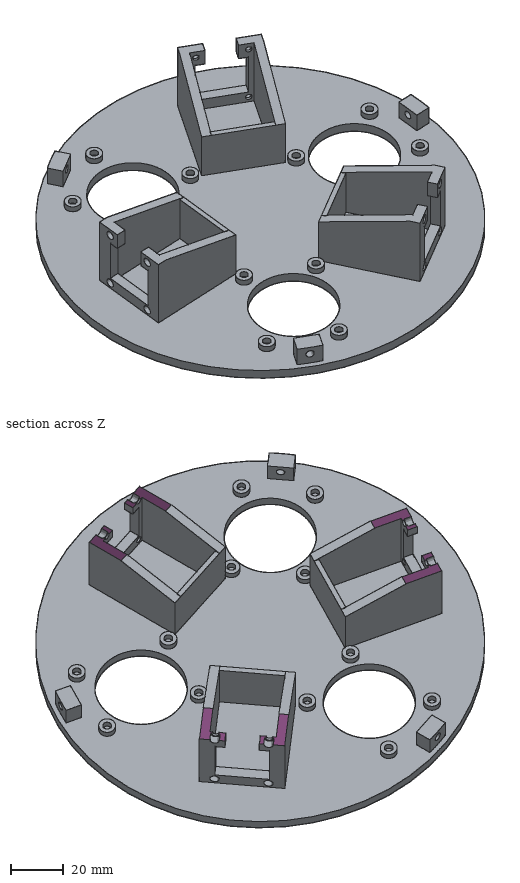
import cadquery as cq

plate_diameter = 170
plate_thickness = 4
sector_angles = (0, 120, 240)

window_diameter = 35
window_center = (-1.25, 50)
standoff_diameter = 6.4
standoff_height = 2.5
standoff_bore = 3.2
standoff_spacing_x = 28
standoff_spacing_y = 38
standoff_center = (-0.2, 50.9)

holder_inner_y = -28
holder_length = 40.1
holder_width = 32.6
holder_inner_height = 20
holder_outer_height = 30
cavity_width = 25
inner_wall = 2
frame_thickness = 4

frame_opening_width = 20.75
frame_opening_bottom = 5
frame_opening_top = 23
frame_slot_width = 13
frame_hole_spacing_x = 20.5
frame_hole_offset_x = -0.2
frame_hole_low = 2.5
frame_hole_high = 27
frame_hole_diameter = 2.5
frame_counterbore_diameter = 3.5
frame_counterbore_depth = 3

block_width = 10
block_height = 8
block_inner_y = 76.5
block_outer_radius = 82.9
block_hole_diameter = 3.2
block_hole_height = 4.7

holder_outer_y = holder_inner_y - holder_length
frame_inner_y = holder_outer_y + frame_thickness


def span_box(width, y_start, y_end, z_start, z_end):
    """Box centred on X that spans the given Y range and the given heights above the plate's top."""
    return (
        cq.Workplane("XY", origin=(0, (y_start + y_end) / 2, plate_thickness + z_start))
        .box(width, y_end - y_start, z_end - z_start, centered=(True, True, False))
    )


def y_cylinders(points, diameter, y_start, length):
    """Cylinders running towards +Y from y_start, at (x, height above the plate's top) points."""
    return (
        cq.Workplane("XZ", origin=(0, y_start, plate_thickness))
        .pushPoints(points)
        .circle(diameter / 2)
        .extrude(-length)
    )


def turned(shape, angle):
    """Copy of a shape turned about the plate's axis."""
    return shape.rotate((0, 0, 0), (0, 0, 1), angle)


def make_plate():
    plate = cq.Workplane("XY").circle(plate_diameter / 2).extrude(plate_thickness)
    window = cq.Workplane("XY").center(*window_center).circle(window_diameter / 2).extrude(plate_thickness)
    standoffs = (
        cq.Workplane("XY", origin=(*standoff_center, plate_thickness))
        .rarray(standoff_spacing_x, standoff_spacing_y, 2, 2)
        .circle(standoff_diameter / 2)
        .circle(standoff_bore / 2)
        .extrude(standoff_height)
    )
    for angle in sector_angles:
        plate = plate.cut(turned(window, angle)).union(turned(standoffs, angle))
    return plate


def make_holder():
    side_profile = [
        (holder_inner_y, 0),
        (holder_inner_y, holder_inner_height),
        (frame_inner_y, holder_outer_height),
        (holder_outer_y, holder_outer_height),
        (holder_outer_y, 0),
    ]
    holder = (
        cq.Workplane("YZ", origin=(0, 0, plate_thickness))
        .polyline(side_profile)
        .close()
        .extrude(holder_width / 2, both=True)
    )
    cavity = span_box(cavity_width, frame_inner_y, holder_inner_y - inner_wall, 0, holder_outer_height)
    above_inner_wall = span_box(
        cavity_width, frame_inner_y, holder_inner_y, holder_inner_height, holder_outer_height
    )
    opening = span_box(
        frame_opening_width, holder_outer_y, frame_inner_y, frame_opening_bottom, frame_opening_top
    )
    slot = span_box(
        frame_slot_width, holder_outer_y, frame_inner_y, frame_opening_bottom, holder_outer_height
    )
    holder = holder.cut(cavity).cut(above_inner_wall).cut(opening).cut(slot)

    hole_points = [
        (frame_hole_offset_x + side * frame_hole_spacing_x / 2, height)
        for side in (-1, 1)
        for height in (frame_hole_low, frame_hole_high)
    ]
    holes = y_cylinders(hole_points, frame_hole_diameter, holder_outer_y, frame_thickness)
    counterbores = y_cylinders(
        hole_points, frame_counterbore_diameter, holder_outer_y, frame_counterbore_depth
    )
    return holder.cut(holes).cut(counterbores)


def make_block():
    block = span_box(block_width, block_inner_y, block_outer_radius, 0, block_height)
    rim = cq.Workplane("XY", origin=(0, 0, plate_thickness)).circle(block_outer_radius).extrude(block_height)
    hole_length = block_outer_radius - block_inner_y
    hole = y_cylinders([(0, block_hole_height)], block_hole_diameter, block_inner_y, hole_length)
    return block.intersect(rim).cut(hole)


plate = make_plate()
holder = make_holder()
block = make_block()
holders = [turned(holder, angle) for angle in sector_angles]
blocks = [turned(block, angle) for angle in sector_angles]

result = cq.Compound.makeCompound(
    [plate.val(), *[copy.val() for copy in holders], *[copy.val() for copy in blocks]]
)